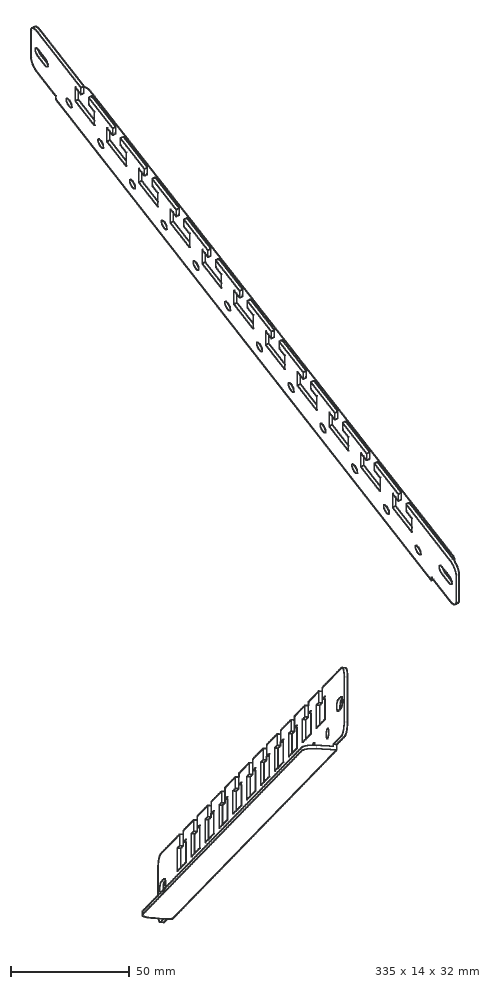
import cadquery as cq

length = 335.0
depth = 14.0
height = 32.0
sheet = 1.5

flange_length = 296.0
flange_corner_radius = 5.0

ear_height = 29.8
ear_corner_radius = 5.0

hole_count = 12
hole_row_span = 275.0
hole_pitch = hole_row_span / (hole_count - 1)
hole_diameter = 4.5
hole_drop = 22.5
cutout_count = hole_count - 1
mouth_width = 6.0
mouth_depth = 5.0
window_width = 15.0
cutout_depth = 15.0

slot_length = 10.0
slot_width = 5.0
slot_end_distance = 8.5


def row_centers(count):
    """Positions of a centred row of features at the hole pitch."""
    return [(i - (count - 1) / 2) * hole_pitch for i in range(count)]


def upright_block(width, z_bottom, z_top, x_center=0.0):
    """A block as thick as the sheet, standing in the plane of the panel."""
    return cq.Workplane("XY").box(
        width, sheet, z_top - z_bottom, centered=(True, False, False)
    ).translate((x_center, 0, z_bottom))


def make_panel():
    eared_plate = upright_block(length, height - ear_height, height)
    eared_plate = eared_plate.edges("|Y").fillet(ear_corner_radius)
    return eared_plate.union(upright_block(flange_length, 0, height))


def make_flange():
    flange = cq.Workplane("XY").box(flange_length, depth, sheet, centered=(True, False, False))
    return flange.edges("|Z and >Y").fillet(flange_corner_radius)


def make_cutout(x_center):
    mouth = upright_block(mouth_width, height - cutout_depth, height, x_center)
    window = upright_block(window_width, height - cutout_depth, height - mouth_depth, x_center)
    return mouth.union(window)


def panel_cutter(points):
    """Sketch on the front face of the panel, with points given as (x, z)."""
    return cq.Workplane("XZ").pushPoints(points)


hole_points = [(x, height - hole_drop) for x in row_centers(hole_count)]
holes = panel_cutter(hole_points).circle(hole_diameter / 2).extrude(-sheet)

slot_x = length / 2 - slot_end_distance
slot_z = height - ear_height / 2
slots = panel_cutter([(-slot_x, slot_z), (slot_x, slot_z)])
slots = slots.slot2D(slot_length, slot_width).extrude(-sheet)

result = make_panel().union(make_flange())
for cutout_x in row_centers(cutout_count):
    result = result.cut(make_cutout(cutout_x))
result = result.cut(holes).cut(slots)